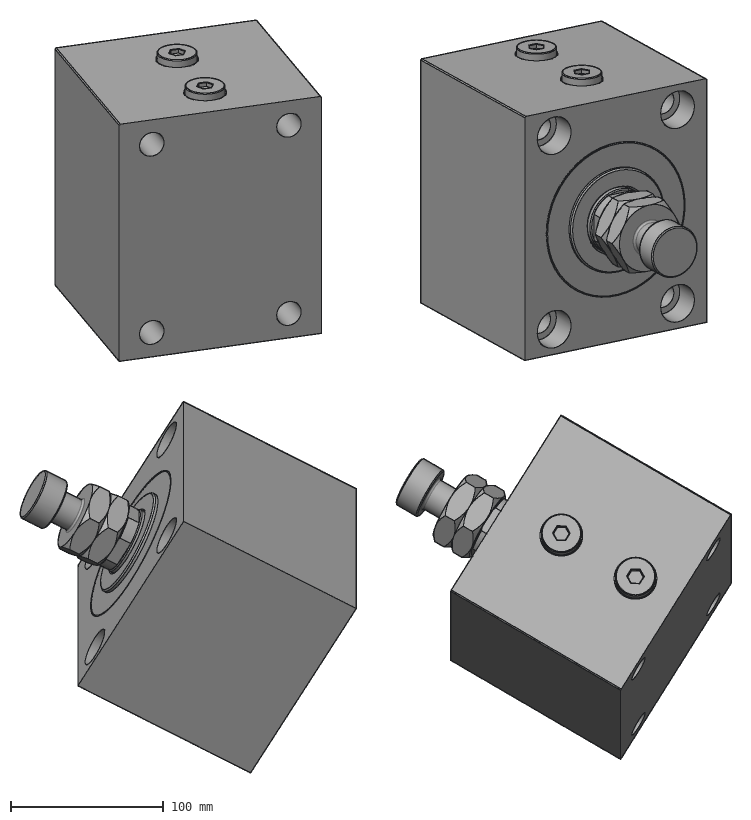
import cadquery as cq
import math


block_length = 130.2
block_width = 140.0
block_height = 170.0
top_edge_chamfer = 0.8

hole_spacing_y = 94.9
hole_spacing_z = 134.8
hole_diameter = 17.0
counterbore_diameter = 26.0
counterbore_depth = 18.4

plug_spacing = 56.7
first_plug_x = 42.5
plug_diameter = 26.3
plug_height = 4.9
plug_chamfer = 0.6
plug_recess_diameter = 28.0
plug_recess_depth = 1.0
socket_across_flats = 9.2
socket_chamfer = 0.5
socket_depth = 3.0

gland_diameter = 106.5
gland_depth = 30.5
gland_edge_chamfer = 0.8
collar_diameter = 72.0
collar_length = 2.9
collar_chamfer = 1.0
bore_relief_diameter = 47.3
bore_relief_depth = 2.0

rod_diameter = 45.0
rod_shoulder_length = 2.2
rod_chamfer = 0.8
rod_end_diameter = 43.9
rod_end_length = 9.0
rod_across_flats = 40.0

hexagon_count = 2
hexagon_length = 13.9
hexagon_across_flats = 46.0
hexagon_chamfer_length = 3.5
head_diameter = 35.0
head_length = 16.5
head_chamfer = 0.8
neck_diameter = 22.0
neck_length = 15.5
neck_fillet = 1.5

collar_face_x = -collar_length
rod_shoulder_x = collar_face_x - rod_shoulder_length
rod_end_x = rod_shoulder_x - rod_end_length
neck_end_x = rod_end_x - hexagon_count * hexagon_length
head_back_x = neck_end_x - neck_length
head_tip_x = head_back_x - head_length

block_top_z = block_height / 2
plug_places_x = [first_plug_x, first_plug_x + plug_spacing]


def cylinder_x(start_x, end_x, diameter):
    """Cylinder around the rod axis."""
    return cq.Workplane("YZ", origin=(start_x, 0, 0)).circle(diameter / 2).extrude(end_x - start_x)


def corner_diameter(across_flats):
    """Diameter of the circle through the corners of a hexagon."""
    return across_flats * 2 / math.sqrt(3)


def make_block():
    block = cq.Workplane("XY").box(block_length, block_width, block_height).translate((block_length / 2, 0, 0))
    block = block.edges("|X and >Z").chamfer(top_edge_chamfer)
    block = (
        block.faces("<X")
        .workplane(origin=(0, 0, 0))
        .rect(hole_spacing_y, hole_spacing_z, forConstruction=True)
        .vertices()
        .cboreHole(hole_diameter, counterbore_diameter, counterbore_depth)
    )
    block = block.cut(cylinder_x(0, gland_depth, gland_diameter))
    for plug_x in plug_places_x:
        recess = (
            cq.Workplane("XY", origin=(plug_x, 0, block_top_z - plug_recess_depth))
            .circle(plug_recess_diameter / 2)
            .extrude(plug_recess_depth)
        )
        block = block.cut(recess)
    return block


def make_gland():
    flange = cylinder_x(0, gland_depth, gland_diameter).faces("<X").chamfer(gland_edge_chamfer)
    collar = cylinder_x(collar_face_x, 0, collar_diameter).faces("<X").chamfer(collar_chamfer)
    bore = cylinder_x(collar_face_x, gland_depth, rod_diameter)
    bore_relief = cylinder_x(collar_face_x, collar_face_x + bore_relief_depth, bore_relief_diameter)
    return flange.union(collar).cut(bore).cut(bore_relief)


def make_rod():
    shank = cylinder_x(rod_shoulder_x, gland_depth, rod_diameter).faces("<X").chamfer(rod_chamfer)
    end = cylinder_x(rod_end_x, rod_shoulder_x, rod_end_diameter).faces("<X").chamfer(rod_chamfer)
    flats = (
        cq.Workplane("YZ", origin=(rod_end_x, 0, 0))
        .rect(rod_across_flats, rod_across_flats)
        .extrude(rod_end_length)
    )
    return shank.union(end.intersect(flats))


def make_hexagon(start_x):
    """Hexagon with corners on +Y and -Y, chamfered by a cone at both ends."""
    outer_diameter = corner_diameter(hexagon_across_flats)
    prism = cq.Workplane("YZ", origin=(start_x, 0, 0)).polygon(6, outer_diameter).extrude(hexagon_length)
    chamfer_height = (outer_diameter - hexagon_across_flats) / 2
    envelope = cylinder_x(start_x, start_x + hexagon_length, outer_diameter)
    envelope = envelope.faces("<X").chamfer(hexagon_chamfer_length, chamfer_height)
    envelope = envelope.faces(">X").chamfer(hexagon_chamfer_length, chamfer_height)
    return prism.intersect(envelope)


def make_coupling():
    head = cylinder_x(head_tip_x, head_back_x, head_diameter).faces("<X or >X").chamfer(head_chamfer)
    coupling = head.union(cylinder_x(head_back_x, neck_end_x, neck_diameter))
    for index in range(hexagon_count):
        coupling = coupling.union(make_hexagon(neck_end_x + index * hexagon_length))
    neck_ends = cq.selectors.RadiusNthSelector(0)
    return coupling.edges("%CIRCLE").edges(neck_ends).fillet(neck_fillet)


def make_plug(plug_x):
    plug = (
        cq.Workplane("XY", origin=(plug_x, 0, block_top_z - plug_recess_depth))
        .circle(plug_diameter / 2)
        .extrude(plug_recess_depth + plug_height)
        .faces(">Z")
        .chamfer(plug_chamfer)
    )
    socket = (
        cq.Workplane("XY", origin=(plug_x, 0, block_top_z + plug_height))
        .transformed(rotate=(0, 0, 90))
        .polygon(6, corner_diameter(socket_across_flats))
        .extrude(-socket_depth)
    )
    return plug.cut(socket).faces(">Z").edges("%LINE").chamfer(socket_chamfer)


block = make_block()
gland = make_gland()
rod = make_rod()
coupling = make_coupling()
plugs = [make_plug(plug_x) for plug_x in plug_places_x]

result = cq.Compound.makeCompound(
    [block.val(), gland.val(), rod.val(), coupling.val()] + [plug.val() for plug in plugs]
)